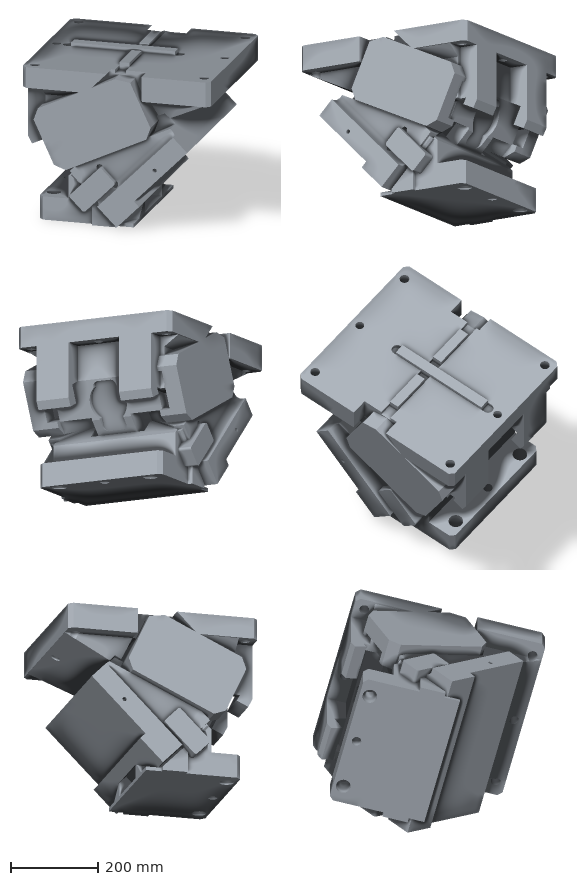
import cadquery as cq
import math


CAM_ANGLE = 25.0
TOOL_ANGLE = 45.0
LENGTH = 450.0
HALF_WIDTH = 200.02
CORNER = 10.0
FAR = 675.0

CAM_FACE = 111.5
SHOULDER = 78.8
CAM_END = 144.5

CLAMP_START = 132.0
CLAMP_STOP = 387.0
CLAMP_TOP = 236.2
CLAMP_CHAMFER = 21.0
CLAMP_NOSE = 32.0
CLAMP_INNER = 159.8
HOOK_INNER = 133.5
HOOK_THICKNESS = 31.0
THROAT_FLOOR = 114.5
FLANGE_END = 171.0

RAIL_END = 7.5
RAIL_FOOT = 150.8
RAIL_HALF_WIDTH = 159.8
ROOF_EDGE = 161.0
ROOF_PEAK = 210.0
ROOF_SLOPE = 30.0
CHANNEL_HALF_WIDTH = 70.0
CHANNEL_FLOOR = 170.5
PEAK_Y = RAIL_HALF_WIDTH - (ROOF_PEAK - ROOF_EDGE) / math.tan(math.radians(ROOF_SLOPE))

PLATE_TOP = 375.0
PLATE_BOTTOM_LEFT = 325.5
PLATE_BOTTOM_RIGHT = 315.5
NOTCH_RIGHT = 287.0
NOTCH_LEFT_FRONT = 203.5
NOTCH_LEFT_BACK = 193.5
CORE_START = 45.0
GUSSET_DROP = 24.5
GUSSET_EDGE = 196.0
LEG_INNER = 65.5
LEG_OUTER = 149.5
LEG_SHELF = 204.0
HOOK_FACE = 113.5
END_SLOT_TOP = 201.0
HEEL_START = 394.5
HEEL_BOTTOM = 96.0
HEEL_CLEARANCE = 2.0
HEEL_DRAFT = 20.0

KEY_TOP = 384.0
GROOVE_DEPTH = 9.0
KEY_WIDTH = 25.0
LONG_KEY_X = (62.5, 312.0)
LONG_SLOT_X = (40.0, 330.8)
CROSS_X = 225.0
CROSS_GROOVE_WIDTH = 26.5
CROSS_KEY_WIDTH = 23.5
CROSS_KEY_Y = (30.0, 129.5)

PLATE_HOLE = 22.0
PLATE_PIN_HOLE = 20.2
PLATE_LEFT_X, PLATE_LEFT_Y = 24.8, 175.5
PLATE_RIGHT_X, PLATE_RIGHT_Y = 427.0, 165.5

SPRING_HEIGHT = 144.0
SPRING_RADIUS = 47.2
SPRING_DEPTH = 13.5
SPRING_TOP_SLOT = (59.5, 195.8)
SPRING_LOW_SLOT = (61.0, 74.0)
SPRING_SLOT_CORNER = 13.5

SLIDER_LOW = 166.72
SLIDER_HIGH = 423.0
SLIDER_BACK = 13.5
SLIDER_HALF_WIDTH = 177.0
TOOL_FACE = -137.2
FLANGE_BACK = -89.0
FLANGE_FILLET = 14.5
TAB_FACE = -154.5
TAB_HIGH = 243.0
RIB_HALF_WIDTH = 51.0
RIB_LOW = 172.0
SIDE_HOLE = 10.0
SIDE_HOLE_DEPTH = 13.5
SIDE_HOLE_X, SIDE_HOLE_Z = 318.0, 153.0

RETAINER_LOW, RETAINER_HIGH = 129.0, 236.0
RETAINER_FRONT, RETAINER_BACK = -78.8, -27.0
RETAINER_OUTER = 193.0
RETAINER_CORNER = 6.0
RELIEF_RADIUS = 8.0

STRIP_LOW = 157.5
STRIP_OUTER = 170.5
STRIP_CHAMFER = 4.5
STRIP_END = 4.0

BASE_START = 29.2
BASE_STOP = 256.0
FOOT_HEIGHT = 56.0
UPRIGHT_X = 100.0
WIDE_START = 159.8
WIDE_HALF_WIDTH = 170.5
TAIL_HEIGHT = 8.5
FOOT_HOLE_X, FOOT_HOLE_Y = 53.0, 119.0
FOOT_HOLE = 33.5
FOOT_PIN_HOLE = 21.5


def side_plane(angle, y=0.0):
    """Plane facing -Y at the given y whose local axes are turned by angle about Y."""
    turn = math.radians(angle)
    return cq.Plane(origin=(0, y, 0), xDir=(math.cos(turn), 0, math.sin(turn)), normal=(0, -1, 0))


def prism(angle, points, y_min, y_max):
    """Side outline in the frame turned by angle, extruded from y_min to y_max."""
    return cq.Workplane(side_plane(angle, y_max)).polyline(points).close().extrude(y_max - y_min)


def block(angle, along, height, y_min, y_max):
    """Rectangular block spanning two (low, high) ranges of the frame turned by angle."""
    corners = [(along[0], height[0]), (along[1], height[0]), (along[1], height[1]), (along[0], height[1])]
    return prism(angle, corners, y_min, y_max)


def both_sides(shape):
    return shape.union(shape.mirror("XZ"))


def upright(x_range, y_range, z_range):
    """Box from its three (low, high) ranges."""
    size = [high - low for low, high in (x_range, y_range, z_range)]
    return cq.Workplane().box(*size, centered=False).translate((x_range[0], y_range[0], z_range[0]))


def tool_line_height(along, x):
    """Z at the given x on the line square to the tool face at the distance along it."""
    return along * math.sqrt(2) - x


def rail_bar(outline, low, high):
    """Bar along the rail from a (y, along) section, between two heights of the tool frame."""
    turn = math.sqrt(0.5)
    section = cq.Plane(origin=(-high * turn, 0, high * turn), xDir=(0, 1, 0), normal=(turn, 0, -turn))
    return cq.Workplane(section).polyline(outline).close().extrude(high - low)


def roof_prism():
    """Everything under the rail roof, run along the rail; both slopes continue outwards."""
    foot_y = PEAK_Y + ROOF_PEAK / math.tan(math.radians(ROOF_SLOPE))
    outline = [(-foot_y, 0), (-PEAK_Y, ROOF_PEAK), (PEAK_Y, ROOF_PEAK), (foot_y, 0)]
    return rail_bar(outline, -FAR, FAR)


def spring_recess():
    """Round recess square to the cam end face, with a narrow slot above and below."""
    turn = math.radians(CAM_ANGLE)
    face = cq.Plane(
        origin=(CAM_END * math.cos(turn), 0, CAM_END * math.sin(turn)),
        xDir=(0, 1, 0),
        normal=(math.cos(turn), 0, math.sin(turn)),
    )
    bore = cq.Workplane(face).center(0, SPRING_HEIGHT).circle(SPRING_RADIUS).extrude(SPRING_DEPTH)
    for width, reach in (SPRING_TOP_SLOT, SPRING_LOW_SLOT):
        middle = (SPRING_HEIGHT + reach) / 2
        slot = (
            cq.Workplane(face)
            .center(0, middle)
            .rect(width, abs(reach - SPRING_HEIGHT))
            .extrude(SPRING_DEPTH)
            .edges(cq.selectors.ParallelDirSelector(face.zDir))
            .fillet(SPRING_SLOT_CORNER)
        )
        bore = bore.union(slot)
    return bore


def clamp_plate():
    """Clamp on the -Y side: chamfered plate with an inward hook at its top and its bottom."""
    outline = [
        (CLAMP_START, SHOULDER + CLAMP_CHAMFER),
        (CLAMP_START + CLAMP_CHAMFER, SHOULDER),
        (CLAMP_STOP - CLAMP_CHAMFER, SHOULDER),
        (CLAMP_STOP, SHOULDER + CLAMP_CHAMFER),
        (CLAMP_STOP, CLAMP_TOP - CLAMP_CHAMFER),
        (CLAMP_STOP - CLAMP_NOSE, CLAMP_TOP),
        (CLAMP_START + CLAMP_CHAMFER, CLAMP_TOP),
        (CLAMP_START, CLAMP_TOP - CLAMP_CHAMFER),
    ]
    plate = prism(CAM_ANGLE, outline, -HALF_WIDTH, -HOOK_INNER)
    throat = block(
        CAM_ANGLE, (0, FAR), (THROAT_FLOOR, CLAMP_TOP - HOOK_THICKNESS), -CLAMP_INNER, -HOOK_INNER
    )
    return plate.cut(throat)


def retainer_outline(y_min, y_max):
    outline = block(
        TOOL_ANGLE, (RETAINER_LOW, RETAINER_HIGH), (RETAINER_FRONT, RETAINER_BACK), y_min, y_max
    )
    return outline.edges("|Y").fillet(RETAINER_CORNER)


def guide_strip():
    """Strip on the -Y side that hangs over the rail edge above the retainer."""
    outline = [
        (-STRIP_OUTER, SLIDER_LOW),
        (-STRIP_OUTER, STRIP_LOW + STRIP_CHAMFER),
        (STRIP_CHAMFER - STRIP_OUTER, STRIP_LOW),
        (-RAIL_HALF_WIDTH, STRIP_LOW),
        (-RAIL_HALF_WIDTH, SLIDER_LOW),
    ]
    return rail_bar(outline, RETAINER_BACK, STRIP_END)


def make_base():
    foot = upright((BASE_START, BASE_STOP), (-RAIL_HALF_WIDTH, RAIL_HALF_WIDTH), (0, FOOT_HEIGHT))
    foot = foot.edges("|Z and <X").chamfer(CORNER)
    end_reach = (ROOF_PEAK - RAIL_FOOT) * math.sqrt(0.5)
    upright_top = UPRIGHT_X + RAIL_END * math.sqrt(2)
    outline = [
        (UPRIGHT_X, 0),
        (UPRIGHT_X, upright_top),
        (UPRIGHT_X + end_reach, upright_top + end_reach),
        (BASE_STOP, tool_line_height(ROOF_PEAK, BASE_STOP)),
        (BASE_STOP, 0),
    ]
    rail = prism(0, outline, -RAIL_HALF_WIDTH, RAIL_HALF_WIDTH)
    channel = block(
        TOOL_ANGLE, (CHANNEL_FLOOR, FAR), (-FAR, FAR), -CHANNEL_HALF_WIDTH, CHANNEL_HALF_WIDTH
    )
    body = foot.union(rail).intersect(roof_prism()).cut(channel)
    wide = [
        (WIDE_START, 0),
        (WIDE_START, tool_line_height(ROOF_EDGE, WIDE_START)),
        (ROOF_EDGE * math.sqrt(2) - TAIL_HEIGHT, TAIL_HEIGHT),
        (ROOF_EDGE * math.sqrt(2) - TAIL_HEIGHT, 0),
    ]
    body = body.union(prism(0, wide, -WIDE_HALF_WIDTH, WIDE_HALF_WIDTH))
    tail = upright((WIDE_START, BASE_STOP), (-RAIL_HALF_WIDTH, RAIL_HALF_WIDTH), (0, TAIL_HEIGHT))
    body = body.union(tail)
    holes = (
        cq.Workplane()
        .pushPoints([(FOOT_HOLE_X, -FOOT_HOLE_Y), (FOOT_HOLE_X, FOOT_HOLE_Y)])
        .circle(FOOT_HOLE / 2)
        .extrude(FOOT_HEIGHT)
    )
    pin_hole = cq.Workplane().center(FOOT_HOLE_X, 0).circle(FOOT_PIN_HOLE / 2).extrude(FOOT_HEIGHT)
    return body.cut(holes).cut(pin_hole).cut(both_sides(retainer_outline(-HALF_WIDTH, -RAIL_HALF_WIDTH)))


def make_slider():
    span = (SLIDER_LOW, SLIDER_HIGH)
    body = block(TOOL_ANGLE, span, (TOOL_FACE, SLIDER_BACK), -SLIDER_HALF_WIDTH, SLIDER_HALF_WIDTH)
    above_shoulder = block(CAM_ANGLE, (0, FAR), (SHOULDER, FAR), -FAR, FAR)
    body = body.cut(above_shoulder)

    upper = block(CAM_ANGLE, (CAM_END, FAR), (SHOULDER, CAM_FACE), -HOOK_INNER, HOOK_INNER)
    beyond = block(TOOL_ANGLE, (SLIDER_HIGH, 2 * FAR), (-FAR, FAR), -FAR, FAR)
    body = body.union(upper.cut(beyond))

    flange = block(TOOL_ANGLE, span, (TOOL_FACE, FLANGE_BACK), -HALF_WIDTH, HALF_WIDTH)
    tab = block(TOOL_ANGLE, (SLIDER_LOW, TAB_HIGH), (TAB_FACE, TOOL_FACE), -HALF_WIDTH, HALF_WIDTH)
    corner = block(
        TOOL_ANGLE,
        span,
        (FLANGE_BACK, FLANGE_BACK + FLANGE_FILLET),
        -SLIDER_HALF_WIDTH - FLANGE_FILLET,
        -SLIDER_HALF_WIDTH,
    )
    hollow = (
        cq.Workplane(cq.Plane(origin=(0, 0, 0), xDir=(0, 1, 0), normal=(math.sqrt(0.5), 0, math.sqrt(0.5))))
        .center(-SLIDER_HALF_WIDTH - FLANGE_FILLET, FLANGE_BACK + FLANGE_FILLET)
        .circle(FLANGE_FILLET)
        .extrude(FAR)
    )
    body = body.union(flange).union(tab).union(both_sides(corner.cut(hollow).cut(above_shoulder)))

    rib = block(TOOL_ANGLE, (RIB_LOW, ROOF_PEAK), (TOOL_FACE, FAR), -RIB_HALF_WIDTH, RIB_HALF_WIDTH)
    rib = rib.intersect(block(CAM_ANGLE, (CAM_END, FAR), (-FAR, CAM_FACE), -FAR, FAR))
    body = body.cut(roof_prism()).union(rib).cut(spring_recess())
    side_hole = (
        cq.Workplane(side_plane(0, SIDE_HOLE_DEPTH - HALF_WIDTH))
        .center(SIDE_HOLE_X, SIDE_HOLE_Z)
        .circle(SIDE_HOLE / 2)
        .extrude(SIDE_HOLE_DEPTH)
    )
    body = body.cut(both_sides(side_hole))

    reliefs = (
        cq.Workplane(side_plane(TOOL_ANGLE, -RAIL_HALF_WIDTH))
        .pushPoints([(RETAINER_HIGH - RELIEF_RADIUS, h) for h in (RETAINER_FRONT, RETAINER_BACK)])
        .circle(RELIEF_RADIUS)
        .extrude(HALF_WIDTH - RAIL_HALF_WIDTH)
    )
    body = body.cut(both_sides(reliefs))
    body = body.union(both_sides(guide_strip()))
    body = body.union(both_sides(retainer_outline(-RETAINER_OUTER, -RAIL_HALF_WIDTH)))
    return body.union(both_sides(clamp_plate()))


def plate_with_keys():
    plate = upright((0, LENGTH), (-HALF_WIDTH, HALF_WIDTH), (PLATE_BOTTOM_RIGHT, PLATE_TOP))
    plate = plate.edges("|Z").chamfer(CORNER)
    plate = plate.cut(upright((0, CROSS_X), (-FAR, FAR), (0, PLATE_BOTTOM_LEFT)))

    for left, y_min, y_max in (
        (NOTCH_LEFT_FRONT, -FAR, -CLAMP_INNER),
        (NOTCH_LEFT_BACK, CLAMP_INNER, FAR),
    ):
        notch = [
            (left, PLATE_TOP),
            (left - PLATE_TOP + PLATE_BOTTOM_RIGHT, PLATE_BOTTOM_RIGHT),
            (NOTCH_RIGHT, PLATE_BOTTOM_RIGHT),
            (NOTCH_RIGHT, PLATE_TOP),
        ]
        plate = plate.cut(prism(0, notch, y_min, y_max))

    floor = PLATE_TOP - GROOVE_DEPTH
    slot_length = LONG_SLOT_X[1] - LONG_SLOT_X[0]
    long_slot = (
        cq.Workplane(origin=(sum(LONG_SLOT_X) / 2, 0, floor))
        .slot2D(slot_length, KEY_WIDTH)
        .extrude(GROOVE_DEPTH)
    )
    half_groove = CROSS_GROOVE_WIDTH / 2
    cross = upright((CROSS_X - half_groove, CROSS_X + half_groove), (-FAR, FAR), (floor, PLATE_TOP))
    plate = plate.cut(long_slot).cut(cross)
    long_key = upright(LONG_KEY_X, (-KEY_WIDTH / 2, KEY_WIDTH / 2), (floor, KEY_TOP))
    half_key = CROSS_KEY_WIDTH / 2
    short_key = upright((CROSS_X - half_key, CROSS_X + half_key), CROSS_KEY_Y, (floor, KEY_TOP))
    return plate.union(long_key).union(both_sides(short_key))


def driver_core():
    """Block under the plate, flared out to the plate edges at its top."""
    low = PLATE_BOTTOM_LEFT - GUSSET_DROP
    half = [(CLAMP_INNER, 0), (CLAMP_INNER, low), (GUSSET_EDGE, PLATE_BOTTOM_LEFT)]
    outline = half + [(-y, z) for y, z in reversed(half)]
    core = cq.Workplane("YZ", origin=(CORE_START, 0, 0)).polyline(outline).close().extrude(FAR)
    core = core.intersect(block(CAM_ANGLE, (0, CLAMP_STOP), (CAM_FACE, FAR), -FAR, FAR))
    below_shelf = upright((0, LENGTH), (-FAR, FAR), (0, LEG_SHELF))
    before_end = block(CAM_ANGLE, (0, CAM_END), (0, FAR), -FAR, FAR)
    before_flange = block(CAM_ANGLE, (0, FLANGE_END), (0, FAR), -CLAMP_INNER, -HOOK_INNER)
    ends = before_end.union(both_sides(before_flange))
    return core.cut(ends.intersect(below_shelf))


def driver_leg():
    """Leg on the -Y side with a hooked lower end."""
    outline = [
        (0, PLATE_BOTTOM_LEFT),
        (0, 195.8),
        (10.0, 177.0),
        (37.0, 189.5),
        (29.5, LEG_SHELF),
        (CORE_START + 4.5, LEG_SHELF),
        (CORE_START + 4.5, PLATE_BOTTOM_LEFT),
    ]
    return prism(0, outline, -LEG_OUTER, -LEG_INNER)


def driver_heel():
    """Tapered heel beyond the slider, with its underside parallel to the cam face."""
    depth = PLATE_BOTTOM_RIGHT / 2
    inset = depth * math.tan(math.radians(HEEL_DRAFT))
    half = [
        (CLAMP_INNER - inset, PLATE_BOTTOM_RIGHT - depth),
        (CLAMP_INNER, PLATE_BOTTOM_RIGHT),
    ]
    outline = half + [(-y, z) for y, z in reversed(half)]
    heel = cq.Workplane("YZ").polyline(outline).close().extrude(LENGTH)
    heel = heel.intersect(block(CAM_ANGLE, (HEEL_START, FAR), (HEEL_BOTTOM, FAR), -FAR, FAR))
    slider_side = block(TOOL_ANGLE, (0, SLIDER_HIGH + HEEL_CLEARANCE), (-FAR, FAR), -FAR, FAR)
    slider_side = slider_side.intersect(block(CAM_ANGLE, (0, FAR), (0, CAM_FACE), -FAR, FAR))
    return heel.cut(slider_side)


def make_driver():
    body = driver_core().union(both_sides(driver_leg()))
    end_slot = block(CAM_ANGLE, (HOOK_FACE, CAM_END), (0, END_SLOT_TOP), -HOOK_INNER, HOOK_INNER)
    body = body.cut(end_slot).union(plate_with_keys()).union(driver_heel())
    outside = block(CAM_ANGLE, (CLAMP_START, HEEL_START), (0, CLAMP_TOP), -FAR, -CLAMP_INNER)
    body = body.cut(both_sides(outside)).cut(both_sides(clamp_plate())).cut(spring_recess())
    for x, y in ((PLATE_LEFT_X, PLATE_LEFT_Y), (PLATE_RIGHT_X, PLATE_RIGHT_Y)):
        for hole_y, diameter in ((-y, PLATE_HOLE), (0, PLATE_PIN_HOLE), (y, PLATE_HOLE)):
            body = body.cut(cq.Workplane().center(x, hole_y).circle(diameter / 2).extrude(FAR))
    return body


base = make_base()
slider = make_slider()
driver = make_driver()
result = cq.Compound.makeCompound([base.val(), slider.val(), driver.val()])